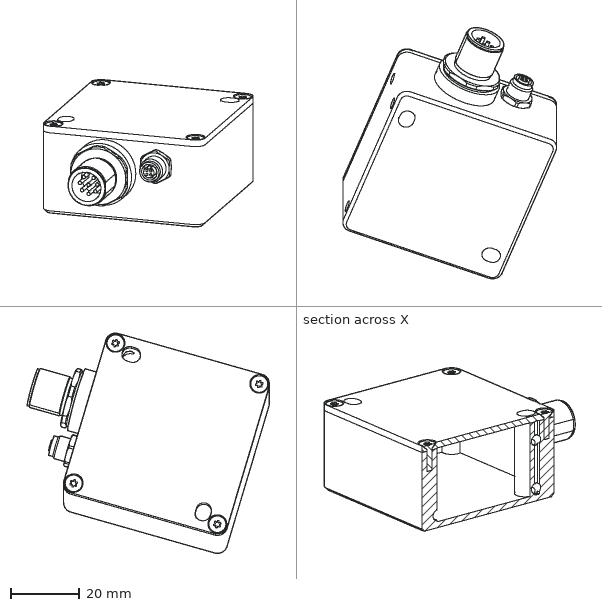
import cadquery as cq
import math

OVERALL_LENGTH = 67.5
BOX_SIDE = 50.0
BOX_HEIGHT = 27.0
LID_THICKNESS = 2.0
WALL = 2.0
COLUMN_DIAMETER = 6.0
BOTTOM_CHAMFER = 1.0

SLOT_WIDTH = 4.5
SLOT_LENGTH = 5.5
LEFT_SLOT_CENTER = (-20.0, -16.6)
RIGHT_SLOT_CENTER = (19.65, 17.0)

SIDE_HOLE_DIAMETER = 3.25
SIDE_HOLE_DEPTH = 6.0
DRILL_POINT_ANGLE = 118.0
SIDE_HOLES = [(-18.0, 4.0), (-18.0, 19.05), (19.0, 4.0)]

SCREW_HEAD_DIAMETER = 5.0
COUNTERSINK_DIAMETER = 5.55
COUNTERSINK_ANGLE = 90.0
SHANK_DIAMETER = 2.5
SCREW_LENGTH = 8.1
STAR_DIAMETER = 2.3
STAR_CORE_DIAMETER = 1.3
STAR_LOBE_WIDTH = 0.5
STAR_DEPTH = 0.95

NUT_CHAMFER_ANGLE = 30.0

HALF_SIDE = BOX_SIDE / 2
CORNER_RADIUS = COLUMN_DIAMETER / 2
LID_BOTTOM = BOX_HEIGHT - LID_THICKNESS
SCREW_OFFSET = HALF_SIDE - CORNER_RADIUS
SCREW_CENTERS = [(sx * SCREW_OFFSET, sy * SCREW_OFFSET) for sx in (-1, 1) for sy in (-1, 1)]
CONE_SLOPE = math.tan(math.radians(COUNTERSINK_ANGLE / 2))
HEAD_RECESS = (COUNTERSINK_DIAMETER - SCREW_HEAD_DIAMETER) / 2 / CONE_SLOPE
HEAD_TOP = BOX_HEIGHT - HEAD_RECESS
FRONT_FACE = -HALF_SIDE


def box_block(bottom, height):
    """Square block with the rounded vertical corners of the enclosure."""
    block = cq.Workplane("XY").workplane(offset=bottom).rect(BOX_SIDE, BOX_SIDE).extrude(height)
    return block.edges("|Z").fillet(CORNER_RADIUS)


def slot_prisms(margin, bottom, top):
    """Upright prisms over both mounting slots, grown by a margin on every side."""
    base = cq.Workplane("XY").workplane(offset=bottom)
    length = SLOT_LENGTH + 2 * margin
    width = SLOT_WIDTH + 2 * margin
    left = base.center(*LEFT_SLOT_CENTER).slot2D(length, width, 90).extrude(top - bottom)
    right = base.center(*RIGHT_SLOT_CENTER).slot2D(length, width, 0).extrude(top - bottom)
    return left.union(right)


def turned(profile):
    """Revolve an (outward distance, radius) profile about an axis that points to -Y."""
    outline = [(radius, -distance) for distance, radius in profile]
    return cq.Workplane("XY").polyline(outline).close().revolve(360, (0, 0), (0, 1))


def rod(center, diameter, start, end):
    """Cylinder along -Y between two outward distances; center is its (x, z)."""
    base = cq.Workplane("XZ").workplane(offset=start)
    return base.center(*center).circle(diameter / 2).extrude(end - start)


def hex_nut(across_flats, corner_diameter, start, end):
    """Hexagon with two flats facing -X and +X, trimmed round and chamfered at both ends."""
    flat_radius = across_flats / 2
    corner_radius = corner_diameter / 2
    chamfer = (corner_radius - flat_radius) * math.tan(math.radians(NUT_CHAMFER_ANGLE))
    hexagon = (
        cq.Workplane("XZ")
        .workplane(offset=start)
        .polygon(6, across_flats, circumscribed=True)
        .extrude(end - start)
    )
    envelope = turned([
        (start, 0),
        (start, flat_radius),
        (start + chamfer, corner_radius),
        (end - chamfer, corner_radius),
        (end, flat_radius),
        (end, 0),
    ])
    return hexagon.intersect(envelope)


def screw_body(center):
    """Countersunk screw without its drive recess."""
    head_radius = SCREW_HEAD_DIAMETER / 2
    shank_radius = SHANK_DIAMETER / 2
    cone_end = HEAD_TOP - (head_radius - shank_radius) / CONE_SLOPE
    outline = [
        (0, HEAD_TOP),
        (head_radius, HEAD_TOP),
        (shank_radius, cone_end),
        (shank_radius, HEAD_TOP - SCREW_LENGTH),
        (0, HEAD_TOP - SCREW_LENGTH),
    ]
    body = cq.Workplane("XZ").polyline(outline).close().revolve(360, (0, 0), (0, 1))
    return body.translate((*center, 0))


def side_hole(y, z):
    """Blind drilled hole with a conical bottom, entering through the -X wall."""
    radius = SIDE_HOLE_DIAMETER / 2
    point = radius / math.tan(math.radians(DRILL_POINT_ANGLE / 2))
    outline = [
        (0, 0),
        (SIDE_HOLE_DEPTH + point, 0),
        (SIDE_HOLE_DEPTH, radius),
        (0, radius),
    ]
    drill = cq.Workplane("XY").polyline(outline).close().revolve(360, (0, 0), (1, 0))
    return drill.translate((-HALF_SIDE, y, z))


def make_housing():
    """Open-topped box with columns around the screws and the mounting slots."""
    housing = box_block(0, LID_BOTTOM).faces("<Z").edges().chamfer(BOTTOM_CHAMFER)
    cavity_side = BOX_SIDE - 2 * WALL
    cavity_height = LID_BOTTOM - WALL
    base = cq.Workplane("XY").workplane(offset=WALL)
    cavity = base.rect(cavity_side, cavity_side).extrude(cavity_height)
    screw_columns = base.pushPoints(SCREW_CENTERS).circle(COLUMN_DIAMETER / 2).extrude(cavity_height)
    slot_columns = slot_prisms((COLUMN_DIAMETER - SLOT_WIDTH) / 2, WALL, LID_BOTTOM)
    housing = housing.cut(cavity.cut(screw_columns).cut(slot_columns))
    housing = housing.cut(slot_prisms(0, 0, LID_BOTTOM))
    for y, z in SIDE_HOLES:
        housing = housing.cut(side_hole(y, z))
    for center in SCREW_CENTERS:
        housing = housing.cut(screw_body(center))
    return housing


def make_lid():
    """Flat cover with countersunk screw holes and the two mounting slots."""
    lid = box_block(LID_BOTTOM, LID_THICKNESS).cut(slot_prisms(0, LID_BOTTOM, BOX_HEIGHT))
    return (
        lid.faces(">Z")
        .workplane(origin=(0, 0, BOX_HEIGHT))
        .pushPoints(SCREW_CENTERS)
        .cskHole(SHANK_DIAMETER, COUNTERSINK_DIAMETER, COUNTERSINK_ANGLE)
    )


def star_recess(center):
    """Six-lobed drive recess with a conical bottom."""
    base = cq.Workplane("XY").workplane(offset=HEAD_TOP - STAR_DEPTH)
    star = base.circle(STAR_CORE_DIAMETER / 2).extrude(STAR_DEPTH)
    for angle in (0, 60, 120):
        star = star.union(base.slot2D(STAR_DIAMETER, STAR_LOBE_WIDTH, angle).extrude(STAR_DEPTH))
    cone = cq.Solid.makeCone(0, STAR_DIAMETER / 2, STAR_DEPTH, pnt=cq.Vector(0, 0, HEAD_TOP - STAR_DEPTH))
    return star.intersect(cq.Workplane(cone)).translate((*center, 0))


def make_screw(center):
    return screw_body(center).cut(star_recess(center))


LARGE_CENTER = (-5.0, 15.0)
FLANGE_DIAMETER = 19.0
FLANGE_END = 4.0
NECK_DIAMETER = 16.5
NECK_END = 4.65
LARGE_NUT_END = 6.4
LARGE_NUT_FLATS = 17.0
LARGE_NUT_CORNERS = 18.1
BARREL_DIAMETER = 12.0
BARREL_END_DIAMETER = 11.4
BARREL_START = 7.5
BARREL_STOP = 16.9
BARREL_STEP_LENGTH = 0.2
BARREL_FLATS = 11.5
LARGE_LENGTH = OVERALL_LENGTH - BOX_SIDE
SOCKET_DIAMETER = 9.0
SOCKET_DEPTH = 9.0
LARGE_PIN_DIAMETER = 1.0
LARGE_PIN_TIP_DEPTH = 2.0
LARGE_PIN_CIRCLE = 5.5
LARGE_PIN_PITCH = 49.0
LARGE_OUTER_PINS = 7
LARGE_KEY_WIDTH = 1.0
LARGE_KEY_HEIGHT = 0.95


def make_large_connector():
    """Eight-pin plug: flange, nut and a barrel with side flats, socket, key and pins."""
    end_radius = BARREL_END_DIAMETER / 2
    barrel_radius = BARREL_DIAMETER / 2
    base = turned([
        (0, 0),
        (0, FLANGE_DIAMETER / 2),
        (FLANGE_END, FLANGE_DIAMETER / 2),
        (FLANGE_END, NECK_DIAMETER / 2),
        (NECK_END, NECK_DIAMETER / 2),
        (NECK_END, 0),
    ])
    barrel = turned([
        (NECK_END, 0),
        (NECK_END, end_radius),
        (BARREL_START, end_radius),
        (BARREL_START + BARREL_STEP_LENGTH, barrel_radius),
        (BARREL_STOP - BARREL_STEP_LENGTH, barrel_radius),
        (BARREL_STOP, end_radius),
        (LARGE_LENGTH, end_radius),
        (LARGE_LENGTH, 0),
    ])
    flats = cq.Workplane("XZ").rect(BARREL_FLATS, 2 * BARREL_DIAMETER).extrude(LARGE_LENGTH)
    nut = hex_nut(LARGE_NUT_FLATS, LARGE_NUT_CORNERS, NECK_END, LARGE_NUT_END)
    socket_floor = LARGE_LENGTH - SOCKET_DEPTH
    socket = rod((0, 0), SOCKET_DIAMETER, socket_floor, LARGE_LENGTH)
    body = base.union(barrel.intersect(flats)).union(nut).cut(socket)

    pin_tip = LARGE_LENGTH - LARGE_PIN_TIP_DEPTH
    pin_radius = LARGE_PIN_CIRCLE / 2
    pin_centers = [(0, 0)]
    for index in range(LARGE_OUTER_PINS):
        angle = math.radians((index - LARGE_OUTER_PINS // 2) * LARGE_PIN_PITCH)
        pin_centers.append((pin_radius * math.sin(angle), -pin_radius * math.cos(angle)))
    for center in pin_centers:
        body = body.union(rod(center, LARGE_PIN_DIAMETER, socket_floor, pin_tip))

    key_center = SOCKET_DIAMETER / 2 - LARGE_KEY_HEIGHT + LARGE_KEY_WIDTH / 2
    key = rod((0, key_center), LARGE_KEY_WIDTH, socket_floor, pin_tip)
    body = body.union(key)
    return body.translate((LARGE_CENTER[0], FRONT_FACE, LARGE_CENTER[1]))


SMALL_CENTER = (11.0, 18.0)
SMALL_NUT_FLATS = 9.0
SMALL_NUT_CORNERS = 10.0
SMALL_NUT_END = 1.95
SLEEVE_DIAMETER = 7.0
SLEEVE_END = 5.2
NOSE_DIAMETER = 6.0
NOSE_END = 7.0
POST_DIAMETER = 3.25
POST_END = 7.4
GROOVE_DIAMETER = 4.7
GROOVE_DEPTH = 2.0
CONTACT_DIAMETER = 0.7
CONTACT_DEPTH = 2.0
CONTACT_SPACING = 1.2
KEYWAY_DIAMETER = 1.0


def make_small_connector():
    """Four-contact socket: nut, stepped sleeve, and a keyed post in a groove with a rounded bead."""
    sleeve_radius = SLEEVE_DIAMETER / 2
    nose_radius = NOSE_DIAMETER / 2
    post_radius = POST_DIAMETER / 2
    groove_radius = GROOVE_DIAMETER / 2
    shoulder_end = SLEEVE_END + sleeve_radius - nose_radius
    groove_floor = NOSE_END - GROOVE_DEPTH
    sleeve = turned([
        (0, 0),
        (0, sleeve_radius),
        (SLEEVE_END, sleeve_radius),
        (shoulder_end, nose_radius),
        (NOSE_END, nose_radius),
        (NOSE_END, groove_radius),
        (groove_floor, groove_radius),
        (groove_floor, post_radius),
        (POST_END, post_radius),
        (POST_END, 0),
    ])
    keyway = rod((0, post_radius), KEYWAY_DIAMETER, groove_floor, POST_END)
    contacts = (
        cq.Workplane("XZ")
        .workplane(offset=POST_END - CONTACT_DEPTH)
        .rarray(CONTACT_SPACING, CONTACT_SPACING, 2, 2)
        .circle(CONTACT_DIAMETER / 2)
        .extrude(CONTACT_DEPTH)
    )
    bead_height = (groove_radius - post_radius) / 2
    bead_middle = (groove_radius + post_radius) / 2
    bead = (
        cq.Workplane("XY")
        .moveTo(post_radius, -groove_floor)
        .threePointArc((bead_middle, -groove_floor - bead_height), (groove_radius, -groove_floor))
        .close()
        .revolve(360, (0, 0), (0, 1))
    )
    nut = hex_nut(SMALL_NUT_FLATS, SMALL_NUT_CORNERS, 0, SMALL_NUT_END)
    body = sleeve.cut(keyway).cut(contacts).union(bead).union(nut)
    return body.translate((SMALL_CENTER[0], FRONT_FACE, SMALL_CENTER[1]))


housing = make_housing()
lid = make_lid()
screws = [make_screw(center) for center in SCREW_CENTERS]
large_connector = make_large_connector()
small_connector = make_small_connector()

bodies = [housing, lid, *screws, large_connector, small_connector]
result = cq.Compound.makeCompound([body.solids().val() for body in bodies])